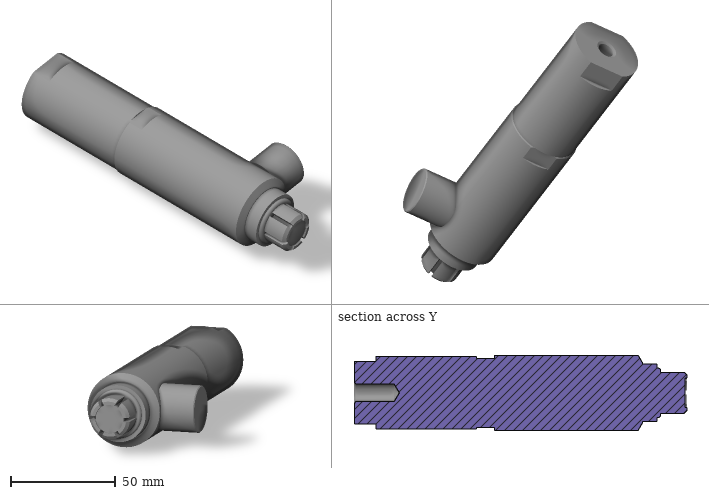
import cadquery as cq
import math

total_length = 159.5
rear_flat_end = 10.2
barrel_end = 58.7
rear_chamfer_end = 59.2
middle_flat_end = 67.0
body_end = 136.1
front_chamfer_end = 138.2
collar_end = 145.2
nose_end = 147.0
tip_chamfer_start = 158.1

barrel_diameter = 35.0
rear_chamfer_diameter = 35.3
body_diameter = 36.2
front_chamfer_diameter = 28.9
collar_diameter = 27.8
nose_diameter = 24.0
nose_fillet = 1.5
spline_diameter = 20.0
tip_diameter = 17.0

rear_flat_distance = 30.2
middle_flat_distance = 33.3

slot_count = 6
slot_width = 2.0
spline_core_diameter = 13.9
tip_recess_depth = 1.0

hole_diameter = 8.0
hole_mouth_diameter = 10.4
hole_depth = 19.1
drill_point_angle = 118.0
countersink_angle = 120.0

total_width = 52.7
connector_x = 122.7
connector_diameter = 22.8
connector_start = 15.5
connector_end = total_width - body_diameter / 2
connector_chamfer = 0.5


def turned_body():
    """Stepped spindle, revolved about the X axis."""
    rear_steps = [
        (0, barrel_diameter),
        (barrel_end, barrel_diameter),
        (barrel_end, rear_chamfer_diameter),
        (rear_chamfer_end, body_diameter),
        (body_end, body_diameter),
        (front_chamfer_end, front_chamfer_diameter),
        (front_chamfer_end, collar_diameter),
        (collar_end, collar_diameter),
        (collar_end, nose_diameter),
        (nose_end - nose_fillet, nose_diameter),
    ]
    tip_steps = [
        (nose_end, spline_diameter),
        (tip_chamfer_start, spline_diameter),
        (total_length, tip_diameter),
    ]
    outline = cq.Workplane("XY")
    for x, diameter in rear_steps:
        outline = outline.lineTo(x, diameter / 2)
    outline = outline.tangentArcPoint((nose_end, nose_diameter / 2 - nose_fillet), relative=False)
    for x, diameter in tip_steps:
        outline = outline.lineTo(x, diameter / 2)
    outline = outline.lineTo(total_length, 0).close()
    return outline.revolve(360, (0, 0, 0), (1, 0, 0))


def flats_cutter(start, end, distance):
    """Two blocks that leave parallel flats on the +Z and -Z sides."""
    length = end - start
    band = cq.Workplane("XY").box(length, 2 * body_diameter, 2 * body_diameter)
    keep = cq.Workplane("XY").box(length, 2 * body_diameter, distance)
    return band.cut(keep).translate(((start + end) / 2, 0, 0))


def spline_cutter():
    """Slots around the spline core, plus the recess in the end face of the core."""
    slot_length = total_length - nose_end
    core = cq.Workplane("YZ", origin=(nose_end, 0, 0)).circle(spline_core_diameter / 2).extrude(slot_length)
    slot = cq.Workplane("XY").box(slot_length, spline_diameter, slot_width, centered=(False, False, True))
    slot = slot.translate((nose_end, 0, 0))
    recess_floor = total_length - tip_recess_depth
    cutter = cq.Workplane("YZ", origin=(recess_floor, 0, 0)).circle(spline_core_diameter / 2)
    cutter = cutter.extrude(tip_recess_depth)
    for index in range(slot_count):
        angle = index * 360 / slot_count
        cutter = cutter.union(slot.cut(core).rotate((0, 0, 0), (1, 0, 0), angle))
    return cutter


def hole_cutter():
    """Countersunk blind hole with a conical drill point."""
    hole_radius = hole_diameter / 2
    mouth_radius = hole_mouth_diameter / 2
    countersink_depth = (mouth_radius - hole_radius) / math.tan(math.radians(countersink_angle / 2))
    point_depth = hole_radius / math.tan(math.radians(drill_point_angle / 2))
    outline = [
        (0, 0),
        (0, mouth_radius),
        (countersink_depth, hole_radius),
        (hole_depth, hole_radius),
        (hole_depth + point_depth, 0),
    ]
    return cq.Workplane("XY").polyline(outline).close().revolve(360, (0, 0, 0), (1, 0, 0))


def side_connector():
    """Round stub toward +Y; its flat inner end overhangs the curved body."""
    stub = cq.Workplane("XZ", origin=(connector_x, connector_start, 0)).circle(connector_diameter / 2)
    return stub.extrude(connector_start - connector_end).faces(">Y").chamfer(connector_chamfer)


result = turned_body().cut(flats_cutter(0, rear_flat_end, rear_flat_distance))
result = result.cut(flats_cutter(barrel_end, middle_flat_end, middle_flat_distance))
result = result.cut(spline_cutter()).cut(hole_cutter()).union(side_connector())